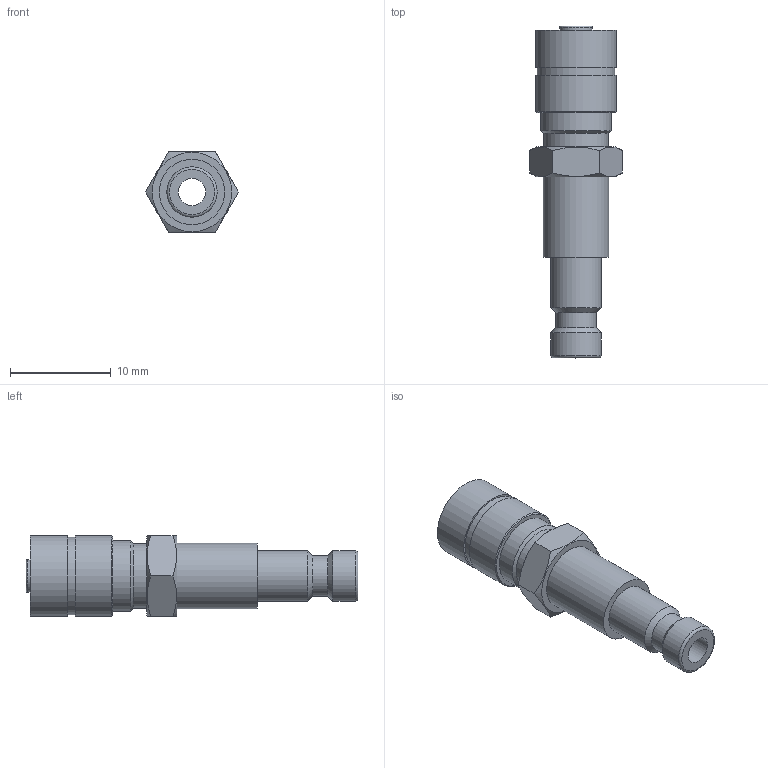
import cadquery as cq
import math


total_length = 33.0
groove_start = 2.5
groove_end = 5.0
shank_start = 10.0
hex_start = 18.0
hex_length = 3.0
collar_start = 22.35
sleeve_start = 24.4
tip_length = 0.42
sleeve_end = total_length - tip_length

bore_diameter = 2.7
plug_diameter = 5.0
groove_diameter = 4.0
shank_diameter = 6.5
neck_diameter = 6.4
collar_diameter = 7.0
sleeve_diameter = 8.05
sleeve_groove_diameter = 7.7
tip_diameter = 3.25

plug_end_fillet = 0.25
collar_cone_length = 0.23
sleeve_groove_width = 0.8
sleeve_chamfer = 0.1
tip_fillet = 0.15
hex_across_flats = 8.0
hex_chamfer_angle = 30.0
hex_face_diameter = 7.9


def cylinder(diameter, start, end):
    """Solid cylinder on the Y axis between two positions."""
    base = cq.Workplane("XZ", origin=(0, start, 0))
    return base.circle(diameter / 2).extrude(start - end)


def ring_groove(bottom_diameter, outer_diameter, start, end, wall_run):
    """Ring-shaped cutter; wall_run is the axial length of each sloped wall."""
    bottom = bottom_diameter / 2
    outer = outer_diameter / 2
    profile = cq.Workplane("XY").polyline([
        (outer, start),
        (bottom, start + wall_run),
        (bottom, end - wall_run),
        (outer, end),
    ]).close()
    return profile.revolve(360, (0, 0, 0), (0, 1, 0))


def make_plug():
    plug = cylinder(plug_diameter, 0, shank_start)
    plug = plug.faces("<Y").edges().fillet(plug_end_fillet)
    wall_run = (plug_diameter - groove_diameter) / 2
    return plug.cut(ring_groove(groove_diameter, plug_diameter, groove_start, groove_end, wall_run))


def make_hex():
    """Hexagon with its corners on the X axis, chamfered conically at both ends."""
    corner_diameter = hex_across_flats / math.cos(math.pi / 6)
    hexagon = cq.Workplane("XZ", origin=(0, hex_start, 0)).polygon(6, corner_diameter).extrude(-hex_length)
    radial_drop = (corner_diameter - hex_face_diameter) / 2
    axial_drop = radial_drop * math.tan(math.radians(hex_chamfer_angle))
    envelope = cylinder(corner_diameter, hex_start, hex_start + hex_length)
    envelope = envelope.faces("<Y or >Y").edges().chamfer(axial_drop, radial_drop)
    return hexagon.intersect(envelope)


def make_collar():
    collar = cylinder(collar_diameter, collar_start, sleeve_start)
    return collar.faces("<Y").edges().chamfer(collar_cone_length, (collar_diameter - neck_diameter) / 2)


def make_sleeve():
    sleeve = cylinder(sleeve_diameter, sleeve_start, sleeve_end)
    sleeve = sleeve.faces("<Y").edges().chamfer(sleeve_chamfer)
    middle = (sleeve_start + sleeve_end) / 2
    start = middle - sleeve_groove_width / 2
    end = middle + sleeve_groove_width / 2
    return sleeve.cut(ring_groove(sleeve_groove_diameter, sleeve_diameter, start, end, 0))


def make_tip():
    tip = cylinder(tip_diameter, sleeve_end, total_length)
    return tip.faces(">Y").edges().fillet(tip_fillet)


shank = cylinder(shank_diameter, shank_start, hex_start)
neck = cylinder(neck_diameter, hex_start, collar_start)
body = make_plug().union(shank).union(neck).union(make_hex()).union(make_collar())
body = body.union(make_sleeve()).union(make_tip())
result = body.cut(cylinder(bore_diameter, 0, total_length))